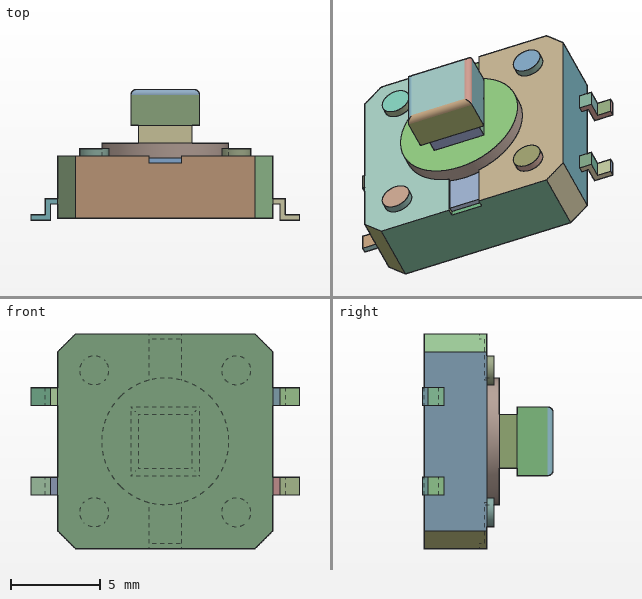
import cadquery as cq


body_size = 12.0
body_depth = 3.5
corner_chamfer = 1.0

notch_width = 1.8
lip_drop = 0.4
floor_drop = 0.14
wall_thickness = 0.3

collar_diameter = 7.08
collar_height = 0.7
post_diameter = 1.62
post_height = 0.4
post_spacing = 7.92

stem_size = 3.0
stem_top = 1.7
button_size = 3.84
button_top = 3.7
button_fillet = 0.32

terminal_span = 15.0
terminal_pitch = 5.0
terminal_width = 1.0
terminal_thickness = 0.32
terminal_height = 1.22
foot_standoff = 0.1
foot_length = 1.11

half_body = body_size / 2


def square_prism(size, y_start, y_end):
    """Square block centred on the Y axis between two Y positions."""
    length = y_end - y_start
    return cq.Workplane("XY").box(size, length, size).translate((0, y_start + length / 2, 0))


def rear_plane(offset=0.0):
    """Plane parallel to the rear face, with its normal along +Y."""
    return cq.Workplane("XZ", origin=(0, body_depth + offset, 0)).workplane(invert=True)


def notch(side):
    """Stepped cutter for the notch in the +Z (side = 1) or -Z (side = -1) wall."""
    wall_inside = half_body - wall_thickness
    profile = [
        (body_depth, 0),
        (body_depth, side * half_body),
        (body_depth - lip_drop, side * half_body),
        (body_depth - lip_drop, side * wall_inside),
        (body_depth - floor_drop, side * wall_inside),
        (body_depth - floor_drop, 0),
    ]
    return cq.Workplane("YZ").polyline(profile).close().extrude(notch_width / 2, both=True)


def terminal(side, z_center):
    """Z-bent terminal leaving the +X (side = 1) or -X (side = -1) wall."""
    tip = terminal_span / 2
    riser_inner = tip - foot_length
    riser_outer = riser_inner + terminal_thickness
    foot_front = -foot_standoff
    foot_back = foot_front + terminal_thickness
    arm_back = foot_front + terminal_height
    arm_front = arm_back - terminal_thickness
    profile = [
        (half_body, arm_back),
        (riser_outer, arm_back),
        (riser_outer, foot_back),
        (tip, foot_back),
        (tip, foot_front),
        (riser_inner, foot_front),
        (riser_inner, arm_front),
        (half_body, arm_front),
    ]
    outline = [(side * x, y) for x, y in profile]
    bar = cq.Workplane("XY").polyline(outline).close().extrude(terminal_width / 2, both=True)
    return bar.translate((0, 0, z_center))


result = square_prism(body_size, 0, body_depth).edges("|Y").chamfer(corner_chamfer)
for side in (1, -1):
    result = result.cut(notch(side))

collar = rear_plane(-floor_drop).circle(collar_diameter / 2).extrude(floor_drop + collar_height)
result = result.union(collar)

posts = (
    rear_plane()
    .rarray(post_spacing, post_spacing, 2, 2)
    .circle(post_diameter / 2)
    .extrude(post_height)
)
result = result.union(posts)

stem = square_prism(stem_size, body_depth, body_depth + stem_top)
button = square_prism(button_size, body_depth + stem_top, body_depth + button_top)
button = button.faces(">Y").edges().fillet(button_fillet)
result = result.union(stem).union(button)

for side in (1, -1):
    for z_center in (-terminal_pitch / 2, terminal_pitch / 2):
        result = result.union(terminal(side, z_center))